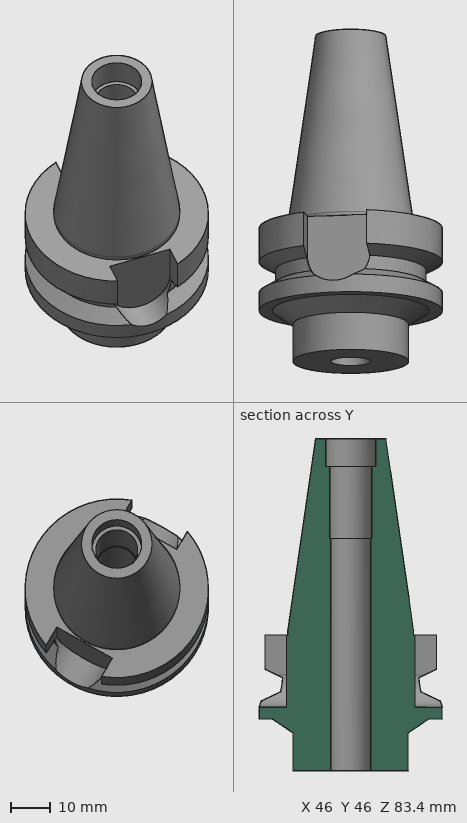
import cadquery as cq

total_height = 83.4
flange_diameter = 46.0
nose_radius = 14.5
nose_top = 9.5
flange_underside_radius = 19.7
flange_bottom = 13.0
lower_rim_top = 17.5
groove_radius = 18.9
groove_bottom = 19.85
groove_top = 23.35
upper_rim_bottom = 25.5
flange_top = 34.1
taper_base = 35.1
taper_large_radius = 15.85
taper_small_radius = 8.8

slot_width = 16.1
slot_floor_offset = 16.2
slot_bottom = 16.0

through_bore_diameter = 10.0
upper_bore_diameter = 10.5
upper_bore_depth = 25.0
counterbore_diameter = 12.5
counterbore_depth = 7.0

flange_radius = flange_diameter / 2


def make_body():
    """Revolve the nose, grooved flange and taper shank."""
    profile = [
        (0, 0),
        (nose_radius, 0),
        (nose_radius, nose_top),
        (flange_underside_radius, flange_bottom),
        (flange_radius, flange_bottom),
        (flange_radius, lower_rim_top),
        (groove_radius, groove_bottom),
        (groove_radius, groove_top),
        (flange_radius, upper_rim_bottom),
        (flange_radius, flange_top),
        (taper_large_radius, flange_top),
        (taper_large_radius, taper_base),
        (taper_small_radius, total_height),
        (0, total_height),
    ]
    return cq.Workplane("XZ").polyline(profile).close().revolve(360, (0, 0, 0), (0, 1, 0))


def make_drive_slot(side):
    """Round-bottomed key slot, open at the flange top, on the +X or -X side."""
    half_width = slot_width / 2
    arc_center = slot_bottom + half_width
    return (
        cq.Workplane("YZ", origin=(side * slot_floor_offset, 0, 0))
        .moveTo(-half_width, flange_top)
        .lineTo(-half_width, arc_center)
        .threePointArc((0, slot_bottom), (half_width, arc_center))
        .lineTo(half_width, flange_top)
        .close()
        .extrude(side * flange_radius)
    )


result = make_body()
for side in (-1, 1):
    result = result.cut(make_drive_slot(side))

for diameter, depth in (
    (through_bore_diameter, total_height),
    (upper_bore_diameter, upper_bore_depth),
    (counterbore_diameter, counterbore_depth),
):
    bore = cq.Workplane("XY", origin=(0, 0, total_height)).circle(diameter / 2).extrude(-depth)
    result = result.cut(bore)